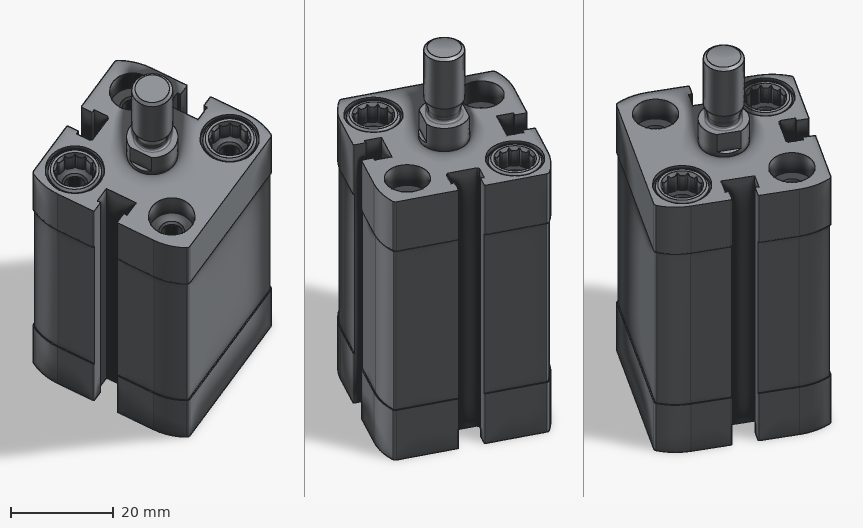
import cadquery as cq
import math

cap_side = 35.5
body_height = 62.4
cap_height = 12.0
tube_inset = 0.25
crown_radius = 12.8
crown_start = 10.9
corner_radius = 0.8

slot_mouth = 5.25
slot_width = 6.75
slot_depth = 6.0
floor_chamfer = 0.4
slot_lip = 2.55
mouth_round = 0.25
slot_angles = [90, 180, 270]
chamfered_slot_angle = 180

hole_offset = 11.0
bore_diameter = 4.13
countersink_diameter = 5.0
counterbore_diameter = 9.0
counterbore_depth = 5.0

recess_diameter = 11.5
collar_diameter = 10.5
collar_chamfer = 0.5
recess_depth = 1.0
socket_root_diameter = 8.0
socket_tip_diameter = 7.5
socket_mouth_diameter = 8.3
socket_depth = 4.6
socket_lead_depth = 0.9
tooth_count = 12
tooth_tip_width = 1.0
tooth_base_width = 2.0

rod_diameter = 10.0
shoulder_height = 5.6
rod_seat_depth = cap_height
flat_across = 8.73
flat_length = 4.7
flat_runout = 0.3
neck_diameter = 6.2
neck_fillet = 0.6
neck_length = 1.25
runout_angle = math.radians(19)
thread_diameter = 8.0
tip_chamfer_width = 0.65
tip_chamfer_height = 0.5
total_height = 83.9

shoulder_top = body_height + shoulder_height


def body_block(inset, bottom, height):
    """Prism of the housing outline, moved inward by the inset."""
    half = cap_side / 2 - inset
    radius = crown_radius
    drop = radius - math.sqrt(radius**2 - (half - crown_start)**2)
    side_end = half - drop
    mid_angle = math.asin((half - crown_start) / radius) / 2
    mid_x = crown_start + radius * math.sin(mid_angle)
    mid_y = half - radius * (1 - math.cos(mid_angle))
    return (
        cq.Workplane("XY", origin=(0, 0, bottom))
        .moveTo(-crown_start, half)
        .lineTo(crown_start, half)
        .threePointArc((mid_x, mid_y), (half, side_end))
        .lineTo(half, -side_end)
        .threePointArc((mid_x, -mid_y), (crown_start, -half))
        .lineTo(-crown_start, -half)
        .threePointArc((-mid_x, -mid_y), (-half, -side_end))
        .lineTo(-half, side_end)
        .threePointArc((-mid_x, mid_y), (-crown_start, half))
        .close()
        .extrude(height)
        .edges("|Z and (<X or >X)")
        .fillet(corner_radius - inset)
    )


def slot_cutter(inset, bottom, height, edge_round, chamfered_floor):
    """T-slot that opens toward +X, with optional mouth rounds and floor chamfers."""
    face = cap_side / 2 - inset
    lip_back = cap_side / 2 - slot_lip
    floor = cap_side / 2 - slot_depth
    inner = slot_width / 2
    mouth = slot_mouth / 2
    outline = (
        cq.Workplane("XY", origin=(0, 0, bottom))
        .moveTo(floor, -inner)
        .lineTo(lip_back, -inner)
        .lineTo(lip_back, -mouth)
        .lineTo(face - edge_round, -mouth)
    )
    if edge_round:
        outline = outline.radiusArc((face, -mouth - edge_round), edge_round)
        outline = outline.lineTo(face, mouth + edge_round)
        outline = outline.radiusArc((face - edge_round, mouth), edge_round)
    else:
        outline = outline.lineTo(face, mouth)
    cutter = (
        outline.lineTo(lip_back, mouth)
        .lineTo(lip_back, inner)
        .lineTo(floor, inner)
        .close()
        .extrude(height)
    )
    if chamfered_floor:
        cutter = cutter.edges("|Z and <X").chamfer(floor_chamfer)
    return cutter


def slotted_section(inset, bottom, height, edge_round):
    """One length of the housing with its T-slots cut."""
    section = body_block(inset, bottom, height)
    for angle in slot_angles:
        cutter = slot_cutter(inset, bottom, height, edge_round, angle == chamfered_slot_angle)
        section = section.cut(cutter.rotate((0, 0, 0), (0, 0, 1), angle))
    return section


def cylinder(diameter, bottom, top):
    return cq.Workplane("XY", origin=(0, 0, bottom)).circle(diameter / 2).extrude(top - bottom)


def cone(bottom_diameter, bottom, top_diameter, top):
    return (
        cq.Workplane("XZ")
        .moveTo(0, bottom)
        .lineTo(bottom_diameter / 2, bottom)
        .lineTo(top_diameter / 2, top)
        .lineTo(0, top)
        .close()
        .revolve(360, (0, 0, 0), (0, 1, 0))
    )


def countersunk_bore(seat):
    """Through bore with a countersink at the level of the seat."""
    depth = (countersink_diameter - bore_diameter) / 2
    countersink = cone(bore_diameter, seat - depth, countersink_diameter, seat)
    return cylinder(bore_diameter, 0, seat).union(countersink)


def counterbored_hole():
    seat = body_height - counterbore_depth
    return countersunk_bore(seat).union(cylinder(counterbore_diameter, seat, body_height))


def spline_prism(bottom, top):
    """Prism with inward trapezoid teeth around its outline."""
    root = socket_root_diameter / 2
    tip = socket_tip_diameter / 2
    base_angle = math.asin(tooth_base_width / 2 / root)
    tip_angle = math.asin(tooth_tip_width / 2 / tip)
    corners = [(root, -base_angle), (tip, -tip_angle), (tip, tip_angle), (root, base_angle)]
    first_tooth = math.radians(45)
    points = []
    for tooth in range(tooth_count):
        middle = first_tooth + tooth * 2 * math.pi / tooth_count
        for radius, offset in corners:
            points.append((radius * math.cos(middle + offset), radius * math.sin(middle + offset)))
    return cq.Workplane("XY", origin=(0, 0, bottom)).polyline(points).close().extrude(top - bottom)


def splined_hole():
    """Ring groove around a chamfered collar, with a splined socket and bore inside."""
    seat = body_height - socket_depth
    collar_foot = body_height - recess_depth
    collar_shoulder = body_height - collar_chamfer
    collar_top_diameter = collar_diameter - 2 * collar_chamfer
    collar = cylinder(collar_diameter, collar_foot, collar_shoulder).union(
        cone(collar_diameter, collar_shoulder, collar_top_diameter, body_height)
    )
    groove = cylinder(recess_diameter, collar_foot, body_height).cut(collar)
    lead_in = cone(
        socket_tip_diameter, body_height - socket_lead_depth, socket_mouth_diameter, body_height
    )
    socket = spline_prism(seat, body_height).union(lead_in)
    return countersunk_bore(seat).union(socket).union(groove)


def make_housing():
    upper_cap_bottom = body_height - cap_height
    tube_height = body_height - 2 * cap_height
    housing = (
        slotted_section(tube_inset, cap_height, tube_height, 0)
        .union(slotted_section(0, 0, cap_height, mouth_round))
        .union(slotted_section(0, upper_cap_bottom, cap_height, mouth_round))
    )
    for side in (-1, 1):
        splined_place = (side * hole_offset, side * hole_offset, 0)
        plain_place = (side * hole_offset, -side * hole_offset, 0)
        housing = housing.cut(splined_hole().translate(splined_place))
        housing = housing.cut(counterbored_hole().translate(plain_place))
    rod_seat = cylinder(rod_diameter, body_height - rod_seat_depth, body_height)
    return housing.cut(rod_seat)


def wrench_flat():
    """Cutter for the flat on the +Y side, with a sloped run-out at its lower end."""
    flat_bottom = shoulder_top - flat_length
    return (
        cq.Workplane("YZ")
        .moveTo(flat_across / 2, shoulder_top)
        .lineTo(flat_across / 2, flat_bottom + flat_runout)
        .lineTo(rod_diameter / 2, flat_bottom)
        .lineTo(rod_diameter / 2, shoulder_top)
        .close()
        .extrude(rod_diameter / 2, both=True)
    )


def upper_fillet_point(angle):
    """Point of the arc from the neck into the conical run-out, after turning by the angle."""
    radius = neck_diameter / 2 + neck_fillet * (1 - math.cos(angle))
    return (radius, shoulder_top + neck_length + neck_fillet * math.sin(angle))


def make_rod():
    """Turned rod: seat, shoulder, filleted neck, conical run-out and threaded end."""
    shoulder_radius = rod_diameter / 2
    neck_radius = neck_diameter / 2
    thread_radius = thread_diameter / 2
    fillet_reach = neck_fillet * (1 - math.sqrt(0.5))
    runout_radius, runout_bottom = upper_fillet_point(runout_angle)
    thread_bottom = runout_bottom + (thread_radius - runout_radius) / math.tan(runout_angle)
    rod = (
        cq.Workplane("XZ")
        .moveTo(0, body_height - rod_seat_depth)
        .lineTo(shoulder_radius, body_height - rod_seat_depth)
        .lineTo(shoulder_radius, shoulder_top)
        .lineTo(neck_radius + neck_fillet, shoulder_top)
        .threePointArc(
            (neck_radius + fillet_reach, shoulder_top + fillet_reach),
            (neck_radius, shoulder_top + neck_fillet),
        )
        .lineTo(neck_radius, shoulder_top + neck_length)
        .threePointArc(upper_fillet_point(runout_angle / 2), upper_fillet_point(runout_angle))
        .lineTo(thread_radius, thread_bottom)
        .lineTo(thread_radius, total_height - tip_chamfer_height)
        .lineTo(thread_radius - tip_chamfer_width, total_height)
        .lineTo(0, total_height)
        .close()
        .revolve(360, (0, 0, 0), (0, 1, 0))
    )
    flat = wrench_flat()
    return rod.cut(flat).cut(flat.mirror("XZ"))


housing = make_housing()
rod = make_rod()
result = cq.Compound.makeCompound([housing.val(), rod.val()])